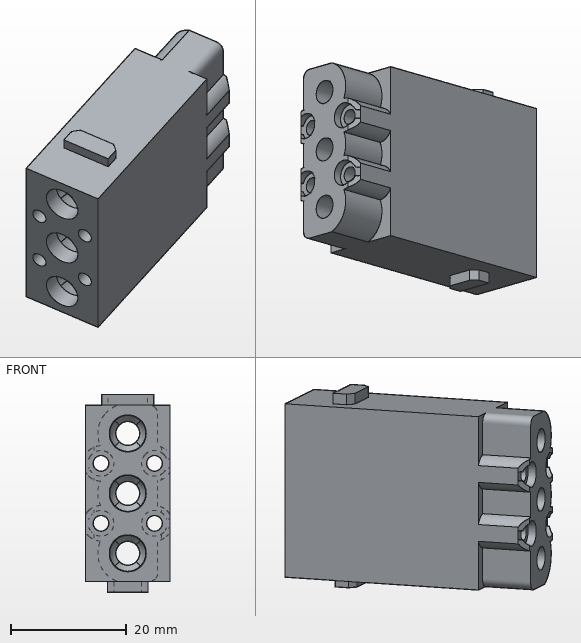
import cadquery as cq

WIDTH = 14.6
LENGTH = 44.4
HEIGHT = 30.45
REAR_LENGTH = 8.85
BODY_LENGTH = LENGTH - REAR_LENGTH

PITCH = 10.35
POWER_HEIGHTS = (-PITCH, 0, PITCH)
SIGNAL_X = 4.6
SIGNAL_POINTS = [(x, z) for x in (-SIGNAL_X, SIGNAL_X) for z in (-PITCH / 2, PITCH / 2)]

POWER_BOSS_RADIUS = PITCH / 2
SIGNAL_BOSS_RADIUS = 3.05
SPINE_LEFT_X = -1.78
SPINE_FILLET = 1.5
REAR_CHAMFER = 1.5

MOUTH_RADIUS = 3.2
POCKET_RADIUS = 3.1
MOUTH_CHAMFER_DEPTH = 0.45
POCKET_DEPTH = 3.1
POWER_RADIUS = 2.05
RECESS_RADIUS = 2.55
RECESS_DEPTH = 4.1
RECESS_START_ANGLES = (45, 225)
CONE_DEPTH = POCKET_RADIUS - POWER_RADIUS

SIGNAL_RADIUS = 1.35
SIGNAL_POCKET_RADIUS = 2.2
SIGNAL_POCKET_DEPTH = REAR_CHAMFER
SIGNAL_SLOT_WIDTH = 1.55

TAB_FRONT_Y = 7.8
TAB_LENGTH = 3.6
TAB_HEIGHT = 1.85
TAB_CHAMFER = 1.1
TOP_TAB_WIDTH = 9.0
BOTTOM_TAB_WIDTH = 7.0


def box(x_min, x_max, y_min, y_max, z_min, z_max):
    """Box given by its limits along each axis."""
    size = (x_max - x_min, y_max - y_min, z_max - z_min)
    return cq.Workplane("XY").box(*size, centered=False).translate((x_min, y_min, z_min))


def rod(radius, x, z, y_start, y_end):
    """Cylinder along Y centred on (x, z)."""
    solid = cq.Solid.makeCylinder(radius, y_end - y_start, cq.Vector(x, y_start, z), cq.Vector(0, 1, 0))
    return cq.Workplane(obj=solid)


def rear_section():
    """Turrets around every contact, joined by a spine, trimmed to the block and bevelled at the sides."""
    spine = box(SPINE_LEFT_X, POWER_BOSS_RADIUS, BODY_LENGTH, LENGTH, -HEIGHT / 2, HEIGHT / 2)
    turrets = spine.edges("|Y and >X").fillet(SPINE_FILLET)
    for z in POWER_HEIGHTS:
        turrets = turrets.union(rod(POWER_BOSS_RADIUS, 0, z, BODY_LENGTH, LENGTH))
    for x, z in SIGNAL_POINTS:
        turrets = turrets.union(rod(SIGNAL_BOSS_RADIUS, x, z, BODY_LENGTH, LENGTH))
    envelope = box(-WIDTH / 2, WIDTH / 2, BODY_LENGTH, LENGTH, -HEIGHT / 2, HEIGHT / 2)
    envelope = envelope.faces(">Y").edges("|Z").chamfer(REAR_CHAMFER)
    return turrets.intersect(envelope)


def tab(width, z_base):
    """Tab with its two rear corners cut off."""
    block = box(-width / 2, width / 2, TAB_FRONT_Y, TAB_FRONT_Y + TAB_LENGTH, z_base, z_base + TAB_HEIGHT)
    return block.faces(">Y").edges("|Z").chamfer(TAB_CHAMFER)


def revolve_about_y(profile):
    """Solid of revolution about Y from (radius, y) points."""
    return cq.Workplane("XY").polyline(profile).close().revolve(360, (0, 0, 0), (0, 1, 0))


def side_recess(start_angle):
    """Quarter turn where a steep cone goes deeper than the main cone and ends in a 45 degree cone."""
    recess_end = RECESS_DEPTH + RECESS_RADIUS - POWER_RADIUS
    profile = [
        (0, POCKET_DEPTH),
        (POCKET_RADIUS, POCKET_DEPTH),
        (RECESS_RADIUS, RECESS_DEPTH),
        (POWER_RADIUS, recess_end),
        (0, recess_end),
    ]
    quadrant = box(0, POCKET_RADIUS, POCKET_DEPTH, recess_end, 0, POCKET_RADIUS)
    return revolve_about_y(profile).intersect(quadrant.rotate((0, 0, 0), (0, 1, 0), start_angle))


def power_bore(z):
    """Stepped bore: bevelled mouth, pocket, cone with a recess on each side, straight hole to the rear."""
    profile = [
        (0, 0),
        (MOUTH_RADIUS, 0),
        (POCKET_RADIUS, MOUTH_CHAMFER_DEPTH),
        (POCKET_RADIUS, POCKET_DEPTH),
        (POWER_RADIUS, POCKET_DEPTH + CONE_DEPTH),
        (POWER_RADIUS, LENGTH),
        (0, LENGTH),
    ]
    bore = revolve_about_y(profile)
    for start_angle in RECESS_START_ANGLES:
        bore = bore.union(side_recess(start_angle))
    return bore.translate((0, 0, z))


def signal_hole(x, z):
    """Through hole with a wider rear pocket that opens outwards through a slot."""
    pocket_floor = LENGTH - SIGNAL_POCKET_DEPTH
    hole = rod(SIGNAL_RADIUS, x, z, 0, LENGTH)
    pocket = rod(SIGNAL_POCKET_RADIUS, x, z, pocket_floor, LENGTH)
    outer_x = WIDTH / 2 if x > 0 else -WIDTH / 2
    half_slot = SIGNAL_SLOT_WIDTH / 2
    slot = box(min(x, outer_x), max(x, outer_x), pocket_floor, LENGTH, z - half_slot, z + half_slot)
    return hole.union(pocket).union(slot)


result = box(-WIDTH / 2, WIDTH / 2, 0, BODY_LENGTH, -HEIGHT / 2, HEIGHT / 2)
result = result.union(rear_section())
result = result.union(tab(TOP_TAB_WIDTH, HEIGHT / 2))
result = result.union(tab(BOTTOM_TAB_WIDTH, -HEIGHT / 2 - TAB_HEIGHT))
for bore_z in POWER_HEIGHTS:
    result = result.cut(power_bore(bore_z))
for hole_x, hole_z in SIGNAL_POINTS:
    result = result.cut(signal_hole(hole_x, hole_z))